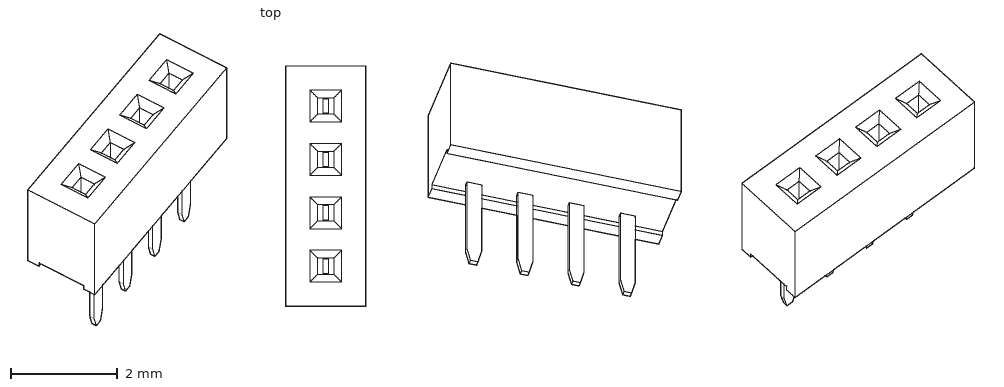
import cadquery as cq

body_width = 1.5
body_length = 4.5
body_height = 2.1
overall_height = 4.0

groove_width = 1.0
groove_depth = 0.1

contact_count = 4
contact_pitch = 1.0

mouth_size = 0.6
hole_size = 0.3
funnel_depth = (mouth_size - hole_size) / 2
socket_depth = 1.5

recess_width = 0.11
recess_depth = 0.02

pin_thickness = 0.1
pin_width = 0.292
pin_offset = 0.29
tip_width = 0.15
tip_height = 0.292
pin_bottom = body_height - overall_height


def make_body():
    block = cq.Workplane("XY").box(body_width, body_length, body_height, centered=(True, True, False))
    groove = cq.Workplane("XY").box(groove_width, body_length, groove_depth, centered=(True, True, False))
    return block.cut(groove)


def make_socket(y):
    """Solid to remove for one socket: funnel, straight hole and floor recess."""
    funnel = (
        cq.Workplane("XY", origin=(0, y, body_height))
        .rect(mouth_size, mouth_size)
        .workplane(offset=-funnel_depth)
        .rect(hole_size, hole_size)
        .loft(ruled=True)
    )
    floor = body_height - socket_depth
    hole = (
        cq.Workplane("XY", origin=(0, y, floor))
        .rect(hole_size, hole_size)
        .extrude(socket_depth - funnel_depth)
    )
    top_half = hole_size / 2
    bottom_half = top_half - recess_depth
    recess = (
        cq.Workplane("YZ", origin=(0, y, floor))
        .polyline([
            (-top_half, 0),
            (top_half, 0),
            (bottom_half, -recess_depth),
            (-bottom_half, -recess_depth),
        ])
        .close()
        .extrude(recess_width / 2, both=True)
    )
    return funnel.union(hole).union(recess)


def make_pin(y):
    """Flat pin hanging from the roof of the groove."""
    taper_start = pin_bottom + tip_height
    return (
        cq.Workplane("YZ", origin=(pin_offset, y, 0))
        .polyline([
            (-pin_width / 2, groove_depth),
            (pin_width / 2, groove_depth),
            (pin_width / 2, taper_start),
            (tip_width / 2, pin_bottom),
            (-tip_width / 2, pin_bottom),
            (-pin_width / 2, taper_start),
        ])
        .close()
        .extrude(pin_thickness / 2, both=True)
    )


result = make_body()
for index in range(contact_count):
    contact_y = (index - (contact_count - 1) / 2) * contact_pitch
    result = result.cut(make_socket(contact_y)).union(make_pin(contact_y))